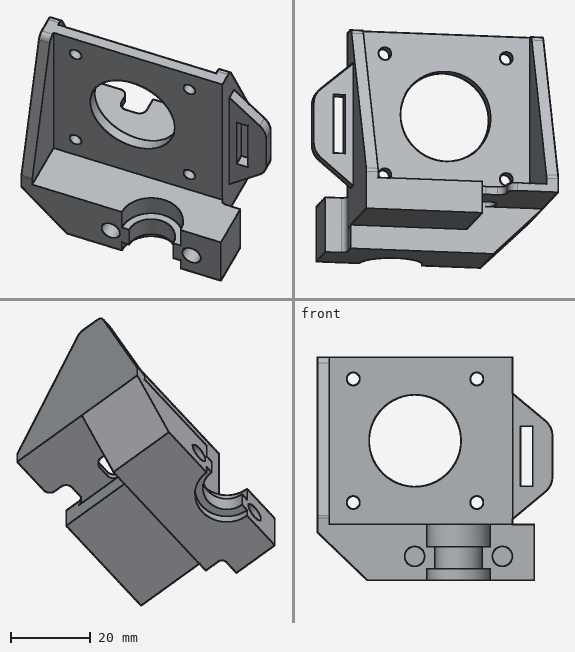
import cadquery as cq

height = 56.0
depth = 39.0
frame_width = 49.0
wall = 3.0
wall_foot_z = 12.0
floor_top = 14.0
plate_front = 13.7
plate_back = plate_front + wall

shoulder_z = 16.0
crest_margin = 2.0
wall_edge_radius = 2.0

motor_x = frame_width / 2
motor_z = 35.0
motor_bore_diameter = 23.0
motor_hole_spacing = 31.0
motor_hole_diameter = 3.2

block_depth = 18.0
block_corner_x = 12.5
block_right = 54.4
ear_depth = 12.5
ear_fillet = 1.4
seat_x = 35.4
seat_diameter = 16.0
neck_diameter = 12.0
neck_bottom = 2.9
neck_top = 8.4
clamp_hole_spacing = 22.0
clamp_hole_diameter = 5.0
clamp_hole_z = 6.0
clamp_hole_depth = 15.0

thick_floor_bottom = 6.0
opening_left = 12.5
opening_right = 19.4
opening_radius = 2.0
rear_opening_front = 33.0
front_opening_back = 24.0

tab_front = 18.2
tab_thickness = 3.0
tab_tip_x = 59.0
tab_z = 31.1
tab_root_length = 31.5
tab_tip_length = 14.8
tab_radius = 5.0
slot_x = 52.5
slot_width = 3.0
slot_length = 15.0


def box(x0, x1, y0, y1, z0, z1):
    """Box given by its limits along each axis."""
    return cq.Workplane("XY").box(x1 - x0, y1 - y0, z1 - z0, centered=False).translate((x0, y0, z0))


def y_cylinder(x, z, diameter, length):
    """Cylinder running from the front face (y = 0) toward +Y."""
    return cq.Workplane("XZ").center(x, z).circle(diameter / 2).extrude(-length)


def z_cylinder(diameter, z0, z1):
    """Vertical cylinder on the axis of the clamp seat."""
    return cq.Workplane("XY", origin=(seat_x, 0, z0)).circle(diameter / 2).extrude(z1 - z0)


def side_wall(x):
    """Full triangular wall whose left face is at x."""
    outline = [
        (0, wall_foot_z),
        (depth, wall_foot_z),
        (depth, shoulder_z),
        (plate_back + crest_margin, height),
        (plate_front - crest_margin, height),
        (0, shoulder_z),
    ]
    blank = cq.Workplane("YZ", origin=(x, 0, 0)).polyline(outline).close().extrude(wall)
    return blank.edges("|X and (not <Z)").fillet(wall_edge_radius)


def frame():
    """Motor plate between the side walls; the right wall stops at the plate's front face."""
    plate = box(0, frame_width, plate_front, plate_back, wall_foot_z, height)
    behind_plate = box(0, frame_width, plate_front, depth, wall_foot_z, height)
    right_wall = side_wall(frame_width - wall).intersect(behind_plate)
    return plate.union(side_wall(0)).union(right_wall)


def opening(y0, y1):
    """Square-cornered blank for one floor opening."""
    return box(opening_left, opening_right, y0, y1, wall_foot_z, floor_top)


def floor():
    """Thin floor on the left, with two openings, and a thick floor on the right."""
    front = opening(block_depth, front_opening_back)
    front = front.edges("|Z").edges("<X or >Y").fillet(opening_radius)
    rear = opening(rear_opening_front, depth).edges("|Z and <Y").fillet(opening_radius)
    thin = box(0, opening_right, block_depth, depth, wall_foot_z, floor_top).cut(front).cut(rear)
    rear_corner = cq.selectors.NearestToPointSelector((opening_left, depth, floor_top))
    thin = thin.edges("|Z").edges(rear_corner).fillet(opening_radius)
    thick = box(opening_right, frame_width, block_depth, depth, thick_floor_bottom, floor_top)
    return thin.union(thick)


def clamp_block():
    """Stepped block with a slanted lower left corner."""
    outline = [
        (0, 0),
        (block_right, 0),
        (block_right, ear_depth),
        (frame_width, ear_depth),
        (frame_width, block_depth),
        (0, block_depth),
    ]
    block = cq.Workplane("XY").polyline(outline).close().extrude(floor_top)
    inner_corner = cq.selectors.NearestToPointSelector((frame_width, ear_depth, floor_top / 2))
    block = block.edges("|Z").edges(inner_corner).fillet(ear_fillet)
    corner = [(0, 0), (block_corner_x, 0), (0, wall_foot_z)]
    return block.cut(cq.Workplane("XZ").polyline(corner).close().extrude(-block_depth))


def clamp_cuts():
    """Grooved half-round seat and the two clamp screw holes."""
    cuts = z_cylinder(neck_diameter, 0, floor_top)
    cuts = cuts.union(z_cylinder(seat_diameter, 0, neck_bottom))
    cuts = cuts.union(z_cylinder(seat_diameter, neck_top, floor_top))
    for side in (-1, 1):
        hole_x = seat_x + side * clamp_hole_spacing / 2
        cuts = cuts.union(y_cylinder(hole_x, clamp_hole_z, clamp_hole_diameter, clamp_hole_depth))
    return cuts


def motor_cuts():
    """Central bore and four screw holes through the motor plate."""
    cuts = y_cylinder(motor_x, motor_z, motor_bore_diameter, plate_back)
    for side_x in (-1, 1):
        for side_z in (-1, 1):
            hole_x = motor_x + side_x * motor_hole_spacing / 2
            hole_z = motor_z + side_z * motor_hole_spacing / 2
            cuts = cuts.union(y_cylinder(hole_x, hole_z, motor_hole_diameter, plate_back))
    return cuts


def slotted_tab():
    """Tapered tab with rounded tip corners and a vertical slot."""
    outline = [
        (frame_width, tab_z - tab_root_length / 2),
        (tab_tip_x, tab_z - tab_tip_length / 2),
        (tab_tip_x, tab_z + tab_tip_length / 2),
        (frame_width, tab_z + tab_root_length / 2),
    ]
    sketch_plane = cq.Workplane("XZ", origin=(0, tab_front, 0))
    tab = sketch_plane.polyline(outline).close().extrude(-tab_thickness)
    tab = tab.edges("|Y and >X").fillet(tab_radius)
    slot = sketch_plane.center(slot_x, tab_z).rect(slot_width, slot_length).extrude(-tab_thickness)
    return tab.cut(slot)


body = frame().union(floor()).union(clamp_block()).union(slotted_tab())
result = body.cut(motor_cuts()).cut(clamp_cuts())